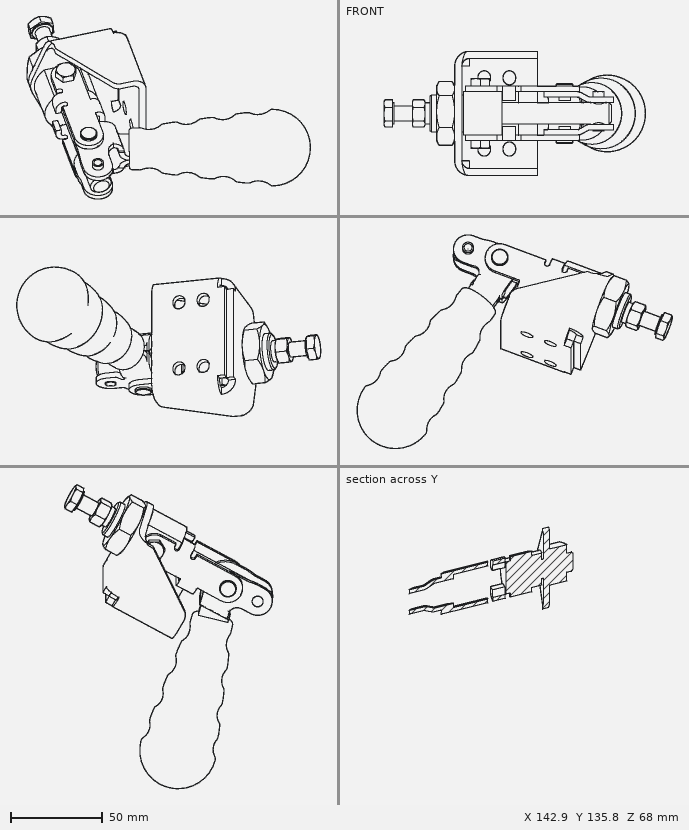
import cadquery as cq
import math


CUT_MARGIN = 1.5
CHAMFER_ANGLE = 30.0

BRACKET_SHEET = 4.0
BRACKET_HEIGHT = 68.0
BRACKET_HALF_HEIGHT = BRACKET_HEIGHT / 2
BRACKET_LENGTH = 45.3
BASE_Y = 36.8
BEND_RADIUS = 8.0
NOSE_RADIUS = 17.2
NOSE_ANGLE = 20.7
RELIEF_GAP = 0.1
GUSSET_FOOT_X = 10.6
GUSSET_FOOT_Y = -4.9
GUSSET_TIP_Y = 19.9
GUSSET_TIP_RADIUS = 5.7
GUSSET_FOOT_RADIUS = 2.0
FOOT_SWEEP_MIDDLE = (5.9, -5.7)
FOOT_SWEEP_START_Y = -8.0
SLOT_XS = (16.2, 29.9)
SLOT_Z = 19.5
SLOT_WIDTH = 6.7
SLOT_LENGTH = 7.6

HEX_TILT = 3.7
BOLT_HEAD_X = -38.6
BOLT_HEAD_LENGTH = 4.7
BOLT_AF = 13.0
BOLT_COLLAR_RADIUS = 5.9
BOLT_COLLAR_LENGTH = 0.9
BOLT_RADIUS = 4.1
LOCKNUT_X = -23.2
LOCKNUT_LENGTH = 7.0
ROD_RADIUS = 5.9
ROD_END_X = 85.8
ROD_CHAMFER = 1.5
BUSH_X = -13.6
BUSH_RADIUS = 10.2
BUSH_CHAMFER = 0.9
NUT_LENGTH = 9.9
NUT_AF = 30.3

BODY_START_X = 4.7
BODY_END_X = 25.9
BODY_RADIUS = 15.3
BODY_HALF_WIDTH = 11.9

SHEET = 3.0
LINK_RADIUS = 8.0
BODY_BOLT_X = 14.0
PIVOT_X = 60.1
SIDE_OUTER_Z = BODY_HALF_WIDTH + SHEET
FOLD_RADIUS = 4.6
TAB_X = (26.0, 33.3)
TAB_Y = -11.0
TAB_TIP_Z = 7.0
NOTCH_WIDTH = 2.9
NOTCH_DEPTH = 3.1
BRIDGE_X = (34.9, 45.3)
BRIDGE_Y = 13.3
BODY_BOLT_AF = 10.2
BODY_BOLT_HEIGHT = 4.1
PIVOT_HEAD_RADIUS = 4.6
PIVOT_HEAD_HEIGHT = 1.5
PIVOT_CHAMFER = 0.5
PIVOT_RADIUS = 3.1
PIVOT_INNER_Z = 7.0

LEVER_ANGLE = 15.0
GRIP_AXIS_X = 57.2
LEVER_OUTER_Z = BODY_HALF_WIDTH
LEVER_HALF_WIDTH = 8.3
LEVER_BEND_RADIUS = 2.6
HEEL_RADIUS = 11.7
HEEL_X = 60.5
LINK_JOGGLE_X = 66.8
LINK_JOGGLE_ANGLE = 29.0
LINK_JOGGLE_SLOPE = 3.7
LINK_END_X = 78.7
NECK_JOGGLE_Y = 12.0
NECK_JOGGLE_ANGLE = 90.0
NECK_JOGGLE_SLOPE = 0.7
ARM_SHIFT = -1.3
NECK_BOTTOM_Y = NECK_JOGGLE_Y + LEVER_BEND_RADIUS
ARM_TOP_Y = NECK_BOTTOM_Y + SHEET
NECK_TOP_Y = 34.3
CROTCH_END_X = 71.8
END_PIN_RADIUS = 3.0
END_PIN_TOP_Z = 11.9
END_PIN_BOTTOM_Z = -9.6
END_PIN_HOLE_RADIUS = 2.1
END_PIN_HOLE_DEPTH = 2.9

GRIP_END = (9.7, 22.9)
GRIP_END_ROUND = (11.5, 24.9)
GRIP_COLLAR_CREST = (11.6, 29.0)
GRIP_WAVES = (
    ((10.6, 34.0), (13.5, 40.9), (14.2, 44.9), (14.6, 49.0)),
    ((13.2, 54.4), (16.0, 61.5), (16.6, 65.2), (16.9, 69.1)),
    ((15.6, 74.2), (18.6, 81.2), (19.2, 85.0), (19.3, 88.7)),
)
GRIP_LAST_VALLEY = (18.2, 93.3)
BALL_START_S = 100.5
BALL_CENTRE_S = 101.0
BALL_RADIUS = 21.0
GRIP_CREST_FILLET = 1.5


def span_box(x, y, z):
    """Box between two limits along each axis."""
    size = [b - a for a, b in (x, y, z)]
    return cq.Workplane("XY").box(*size, centered=False).translate((x[0], y[0], z[0]))


def x_cylinder(x_start, x_end, radius):
    return cq.Workplane("YZ").workplane(offset=x_start).circle(radius).extrude(x_end - x_start)


def z_cylinder(x, z_start, z_end, radius):
    return cq.Workplane("XY", origin=(x, 0, z_start)).circle(radius).extrude(z_end - z_start)


def hexagon(across_flats, length, chamfer_start=True, chamfer_end=True):
    """Hexagon along +Z from Z = 0, corners on X, with turned corner chamfers."""
    corner = across_flats / math.sqrt(3)
    flat = across_flats / 2
    drop = (corner - flat) * math.tan(math.radians(CHAMFER_ANGLE))
    prism = cq.Workplane("XY").polygon(6, 2 * corner).extrude(length)
    outline = [(0, 0)]
    outline += [(flat, 0), (corner, drop)] if chamfer_start else [(corner, 0)]
    outline += [(corner, length - drop), (flat, length)] if chamfer_end else [(corner, length)]
    outline += [(0, length)]
    turned = cq.Workplane("XZ").polyline(outline).close().revolve(360, (0, 0, 0), (0, 1, 0))
    return prism.intersect(turned)


def plunger_hexagon(x_start, across_flats, length, tilt, **chamfers):
    """Hexagon along the plunger with a corner turned by tilt from +Z towards +Y."""
    along_x = hexagon(across_flats, length, **chamfers).rotate((0, 0, 0), (0, 1, 0), 90)
    return along_x.rotate((0, 0, 0), (1, 0, 0), -tilt).translate((x_start, 0, 0))


def bent_channel(depth_limits, run_limits):
    """Channel with its web at depth start, flanges towards +X and running along Y."""
    start, end = depth_limits
    far = end + BEND_RADIUS
    inside = BRACKET_HALF_HEIGHT - BRACKET_SHEET
    outer = span_box((start, far), run_limits, (-BRACKET_HALF_HEIGHT, BRACKET_HALF_HEIGHT))
    outer = outer.edges("|Y and <X").fillet(BEND_RADIUS)
    inner = span_box((start + BRACKET_SHEET, far), run_limits, (-inside, inside))
    inner = inner.edges("|Y and <X").fillet(BEND_RADIUS - BRACKET_SHEET)
    kept = span_box(depth_limits, run_limits, (-BRACKET_HALF_HEIGHT, BRACKET_HALF_HEIGHT))
    return outer.cut(inner).intersect(kept)


def make_bracket():
    bend_z = BRACKET_HALF_HEIGHT - BEND_RADIUS
    bend_y = BASE_Y - BEND_RADIUS
    base_inner_y = BASE_Y - BRACKET_SHEET

    front = bent_channel((0, BRACKET_LENGTH), (-NOSE_RADIUS - CUT_MARGIN, bend_y))
    gusset = (
        cq.Workplane("XY", origin=(0, 0, -BRACKET_HALF_HEIGHT))
        .moveTo(0, bend_y)
        .lineTo(0, -NOSE_RADIUS - CUT_MARGIN)
        .lineTo(BRACKET_SHEET, -NOSE_RADIUS - CUT_MARGIN)
        .lineTo(BRACKET_SHEET, FOOT_SWEEP_START_Y)
        .threePointArc(FOOT_SWEEP_MIDDLE, (BEND_RADIUS, GUSSET_FOOT_Y))
        .lineTo(GUSSET_FOOT_X, GUSSET_FOOT_Y)
        .lineTo(BRACKET_LENGTH, GUSSET_TIP_Y)
        .lineTo(BRACKET_LENGTH, bend_y)
        .close()
        .extrude(BRACKET_HEIGHT)
    )
    tip = cq.selectors.NearestToPointSelector((BRACKET_LENGTH, GUSSET_TIP_Y, 0))
    foot = cq.selectors.NearestToPointSelector((GUSSET_FOOT_X, GUSSET_FOOT_Y, 0))
    gusset = gusset.edges("|Z").edges(tip).fillet(GUSSET_TIP_RADIUS)
    gusset = gusset.edges("|Z").edges(foot).fillet(GUSSET_FOOT_RADIUS)
    slope = math.radians(NOSE_ANGLE)
    tangent_y = -NOSE_RADIUS * math.cos(slope)
    tangent_z = NOSE_RADIUS * math.sin(slope)
    edge_z = BRACKET_HALF_HEIGHT
    edge_y = tangent_y + (edge_z - tangent_z) * math.tan(slope)
    nose = (
        cq.Workplane("YZ")
        .moveTo(bend_y, edge_z)
        .lineTo(edge_y, edge_z)
        .lineTo(tangent_y, tangent_z)
        .threePointArc((-NOSE_RADIUS, 0), (tangent_y, -tangent_z))
        .lineTo(edge_y, -edge_z)
        .lineTo(bend_y, -edge_z)
        .close()
        .extrude(BRACKET_LENGTH)
    )
    front = front.intersect(gusset).intersect(nose)

    base = bent_channel((-BASE_Y, -bend_y), (BEND_RADIUS, BRACKET_LENGTH))
    base = base.rotate((0, 0, 0), (0, 0, 1), -90)

    flat = (-bend_z, bend_z)
    front_strip = span_box((0, BRACKET_SHEET), (bend_y, base_inner_y - RELIEF_GAP), flat)
    base_strip = span_box((BRACKET_SHEET, BEND_RADIUS), (base_inner_y, BASE_Y), flat)

    slots = (
        cq.Workplane("XZ", origin=(0, BASE_Y + CUT_MARGIN, 0))
        .pushPoints([(x, side * SLOT_Z) for x in SLOT_XS for side in (-1, 1)])
        .slot2D(SLOT_LENGTH, SLOT_WIDTH, 90)
        .extrude(BRACKET_SHEET + 2 * CUT_MARGIN)
    )
    return front.union(base).union(front_strip).union(base_strip).cut(slots)


def make_plunger():
    head_end = BOLT_HEAD_X + BOLT_HEAD_LENGTH
    collar_end = head_end + BOLT_COLLAR_LENGTH
    locknut_end = LOCKNUT_X + LOCKNUT_LENGTH
    head = plunger_hexagon(BOLT_HEAD_X, BOLT_AF, BOLT_HEAD_LENGTH, -HEX_TILT, chamfer_end=False)
    locknut = plunger_hexagon(LOCKNUT_X, BOLT_AF, LOCKNUT_LENGTH, -HEX_TILT)
    rod = x_cylinder(locknut_end, ROD_END_X, ROD_RADIUS).faces(">X").chamfer(ROD_CHAMFER)
    bush = x_cylinder(BUSH_X, BODY_START_X, BUSH_RADIUS).faces("<X").chamfer(BUSH_CHAMFER)
    return (
        head.union(x_cylinder(head_end, collar_end, BOLT_COLLAR_RADIUS))
        .union(x_cylinder(head_end, LOCKNUT_X, BOLT_RADIUS))
        .union(locknut)
        .union(rod)
        .union(bush)
        .union(plunger_hexagon(-NUT_LENGTH, NUT_AF, NUT_LENGTH, HEX_TILT))
    )


def make_body():
    cylinder = x_cylinder(BODY_START_X, BODY_END_X, BODY_RADIUS)
    reach = (-BODY_RADIUS - CUT_MARGIN, BODY_RADIUS + CUT_MARGIN)
    flats = (-BODY_HALF_WIDTH, BODY_HALF_WIDTH)
    return cylinder.intersect(span_box((BODY_START_X, BODY_END_X), reach, flats))


def folded_strip(x_limits, far_y, tip_z):
    """Strip that leaves the side plate, folds at far_y (positive) and runs in to tip_z."""
    outer = span_box(x_limits, (0, far_y), (tip_z, SIDE_OUTER_Z))
    outer = outer.edges("|X and >Y and >Z").fillet(FOLD_RADIUS)
    inner = span_box(x_limits, (-CUT_MARGIN, far_y - SHEET), (tip_z - CUT_MARGIN, BODY_HALF_WIDTH))
    inner = inner.edges("|X and >Y and >Z").fillet(FOLD_RADIUS - SHEET)
    return outer.cut(inner)


def make_side_plate():
    """Upper side plate with its tab, half bridge, body bolt and pivot pin."""
    length = PIVOT_X - BODY_BOLT_X + 2 * LINK_RADIUS
    middle_x = (PIVOT_X + BODY_BOLT_X) / 2
    plate = (
        cq.Workplane("XY", origin=(middle_x, 0, BODY_HALF_WIDTH))
        .slot2D(length, 2 * LINK_RADIUS)
        .extrude(SHEET)
    )
    notch_round = NOTCH_WIDTH / 2
    for notch_x in (TAB_X[0] - notch_round, TAB_X[1] + notch_round):
        top_y = -LINK_RADIUS + NOTCH_DEPTH
        centre_y = top_y - notch_round
        z_limits = (BODY_HALF_WIDTH, SIDE_OUTER_Z)
        sides = (notch_x - notch_round, notch_x + notch_round)
        plate = plate.cut(span_box(sides, (-LINK_RADIUS - CUT_MARGIN, centre_y), z_limits))
        plate = plate.cut(z_cylinder(notch_x, *z_limits, notch_round).translate((0, centre_y, 0)))
    tab = folded_strip(TAB_X, -TAB_Y, TAB_TIP_Z).mirror("XZ")
    fold_zone = (-LINK_RADIUS - CUT_MARGIN, TAB_Y + FOLD_RADIUS)
    plate = plate.cut(span_box(TAB_X, fold_zone, (0, SIDE_OUTER_Z)))
    plate = plate.union(tab).union(folded_strip(BRIDGE_X, BRIDGE_Y, 0))

    bolt = hexagon(BODY_BOLT_AF, BODY_BOLT_HEIGHT, chamfer_start=False)
    bolt = bolt.rotate((0, 0, 0), (0, 0, 1), 90).translate((BODY_BOLT_X, 0, SIDE_OUTER_Z))
    pin = z_cylinder(PIVOT_X, PIVOT_INNER_Z, SIDE_OUTER_Z, PIVOT_RADIUS)
    head_top = SIDE_OUTER_Z + PIVOT_HEAD_HEIGHT
    pin_head = z_cylinder(PIVOT_X, SIDE_OUTER_Z, head_top, PIVOT_HEAD_RADIUS)
    pin_head = pin_head.faces(">Z").chamfer(PIVOT_CHAMFER)
    return plate.union(bolt).union(pin).union(pin_head)


def joggle_sheet(plane, start, step, end, angle, slope_length, half_width):
    """Sheet along the plane's first axis that steps inwards by two opposite bends from step on.

    Angle is how far each bend turns, slope_length the straight piece between the bends.
    """
    small = LEVER_BEND_RADIUS
    large = LEVER_BEND_RADIUS + SHEET
    turn = math.radians(angle)

    def bend_point(centre, radius, share):
        return (
            centre[0] + radius * math.sin(share * turn),
            centre[1] + radius * math.cos(share * turn),
        )

    first_centre = (step, LEVER_OUTER_Z - large)
    second_centre = bend_point(first_centre, large + small, 1)
    second_centre = (
        second_centre[0] + slope_length * math.cos(turn),
        second_centre[1] - slope_length * math.sin(turn),
    )
    return (
        cq.Workplane(plane)
        .moveTo(start, LEVER_OUTER_Z)
        .lineTo(step, LEVER_OUTER_Z)
        .threePointArc(bend_point(first_centre, large, 0.5), bend_point(first_centre, large, 1))
        .lineTo(*bend_point(second_centre, -small, 1))
        .threePointArc(bend_point(second_centre, -small, 0.5), bend_point(second_centre, -small, 0))
        .lineTo(end, second_centre[1] - small)
        .lineTo(end, second_centre[1] - large)
        .lineTo(second_centre[0], second_centre[1] - large)
        .threePointArc(bend_point(second_centre, -large, 0.5), bend_point(second_centre, -large, 1))
        .lineTo(*bend_point(first_centre, small, 1))
        .threePointArc(bend_point(first_centre, small, 0.5), bend_point(first_centre, small, 0))
        .lineTo(start, LEVER_OUTER_Z - SHEET)
        .close()
        .extrude(half_width, both=True)
    )


def lever_edge_x(y, side, shift=0.0):
    """X of the lever's left (-1) or right (1) edge at height y."""
    lean = math.radians(LEVER_ANGLE)
    return GRIP_AXIS_X + shift + y * math.tan(lean) + side * LEVER_HALF_WIDTH / math.cos(lean)


def make_lever_plate():
    """Upper lever plate: arm and neck towards the grip, link towards the plunger's end pin."""
    lean = math.radians(LEVER_ANGLE)
    arm_corner = (lever_edge_x(NECK_JOGGLE_Y, 1, ARM_SHIFT), NECK_JOGGLE_Y)
    heel_y = HEEL_RADIUS - LINK_RADIUS

    def heel_point(angle):
        x = HEEL_X - HEEL_RADIUS * math.cos(angle)
        return (x, heel_y + HEEL_RADIUS * math.sin(angle))

    arm = (
        cq.Workplane("XY")
        .moveTo(HEEL_X, -LINK_RADIUS)
        .lineTo(LINK_JOGGLE_X, -LINK_RADIUS)
        .lineTo(LINK_JOGGLE_X, NECK_JOGGLE_Y)
        .lineTo(*arm_corner)
        .lineTo(lever_edge_x(ARM_TOP_Y, 1, ARM_SHIFT), ARM_TOP_Y)
        .lineTo(lever_edge_x(ARM_TOP_Y, -1, ARM_SHIFT), ARM_TOP_Y)
        .lineTo(*heel_point(lean))
        .threePointArc(heel_point((lean - math.pi / 2) / 2), (HEEL_X, -LINK_RADIUS))
        .close()
        .extrude(LEVER_OUTER_Z)
    )
    neck = (
        cq.Workplane("XY")
        .moveTo(lever_edge_x(NECK_BOTTOM_Y, -1), NECK_BOTTOM_Y)
        .lineTo(lever_edge_x(NECK_BOTTOM_Y, 1), NECK_BOTTOM_Y)
        .lineTo(lever_edge_x(NECK_TOP_Y, 1), NECK_TOP_Y)
        .lineTo(lever_edge_x(NECK_TOP_Y, -1), NECK_TOP_Y)
        .close()
        .extrude(LEVER_OUTER_Z - LEVER_BEND_RADIUS - SHEET)
    )
    arm_sheet = joggle_sheet(
        "YZ", -LINK_RADIUS - CUT_MARGIN, NECK_JOGGLE_Y, NECK_TOP_Y + CUT_MARGIN,
        NECK_JOGGLE_ANGLE, NECK_JOGGLE_SLOPE, 2 * LINK_END_X,
    )
    link = (
        cq.Workplane("XY")
        .moveTo(LINK_JOGGLE_X, -LINK_RADIUS)
        .lineTo(LINK_END_X, -LINK_RADIUS)
        .threePointArc((LINK_END_X + LINK_RADIUS, 0), (LINK_END_X, LINK_RADIUS))
        .lineTo(CROTCH_END_X, LINK_RADIUS)
        .tangentArcPoint(arm_corner, relative=False)
        .lineTo(LINK_JOGGLE_X, NECK_JOGGLE_Y)
        .close()
        .extrude(LEVER_OUTER_Z)
    )
    link_sheet = joggle_sheet(
        "XZ", HEEL_X, LINK_JOGGLE_X, LINK_END_X + 2 * LINK_RADIUS,
        LINK_JOGGLE_ANGLE, LINK_JOGGLE_SLOPE, 2 * LINK_RADIUS,
    )
    return arm_sheet.intersect(arm.union(neck)).union(link_sheet.intersect(link))


def valley_arc_middle(floor, crest):
    """Middle of the arc that leaves the valley floor along the grip axis and meets the crest."""
    run = crest[1] - floor[1]
    rise = crest[0] - floor[0]
    radius = (run**2 + rise**2) / (2 * rise)
    half_turn = math.atan2(rise, abs(run))
    return (
        floor[0] + radius * (1 - math.cos(half_turn)),
        floor[1] + math.copysign(radius * math.sin(half_turn), run),
    )


def make_grip():
    """Turned grip of waves and a ball, profiled as (radius, distance along its axis)."""
    ball_offset = BALL_START_S - BALL_CENTRE_S
    ball_start = (math.sqrt(BALL_RADIUS**2 - ball_offset**2), BALL_START_S)
    ball_side = BALL_RADIUS / math.sqrt(2)

    def add_valley(profile, before, floor, after):
        profile = profile.threePointArc(valley_arc_middle(floor, before), floor)
        return profile.threePointArc(valley_arc_middle(floor, after), after)

    profile = (
        cq.Workplane("ZY")
        .moveTo(0, GRIP_END[1])
        .lineTo(*GRIP_END)
        .tangentArcPoint(GRIP_END_ROUND, relative=False)
        .lineTo(*GRIP_COLLAR_CREST)
    )
    crests = [GRIP_COLLAR_CREST]
    for floor, lower_crest, bulge, upper_crest in GRIP_WAVES:
        profile = add_valley(profile, crests[-1], floor, lower_crest)
        profile = profile.threePointArc(bulge, upper_crest)
        crests += [lower_crest, upper_crest]
    grip = (
        add_valley(profile, crests[-1], GRIP_LAST_VALLEY, ball_start)
        .threePointArc(
            (ball_side, BALL_CENTRE_S + ball_side), (0, BALL_CENTRE_S + BALL_RADIUS)
        )
        .close()
        .revolve(360, (0, 0, 0), (0, 1, 0))
    )
    crests.append(ball_start)
    for _, along_axis in crests:
        rim = cq.selectors.NearestToPointSelector((0, along_axis, 0))
        grip = grip.edges("%CIRCLE").edges(rim).fillet(GRIP_CREST_FILLET)
    return grip.rotate((0, 0, 0), (0, 0, 1), -LEVER_ANGLE).translate((GRIP_AXIS_X, 0, 0))


def make_end_pin():
    """Pin through the rod and both links, with a conical recess in its top."""
    pin = z_cylinder(LINK_END_X, END_PIN_BOTTOM_Z, END_PIN_TOP_Z, END_PIN_RADIUS)
    hole = cq.Workplane(cq.Solid.makeCone(0, END_PIN_HOLE_RADIUS, END_PIN_HOLE_DEPTH))
    hole_bottom_z = END_PIN_TOP_Z - END_PIN_HOLE_DEPTH
    return pin.cut(hole.translate((LINK_END_X, 0, hole_bottom_z)))


upper_linkage = make_side_plate().union(make_lever_plate())
result = (
    make_bracket()
    .union(make_plunger())
    .union(make_body())
    .union(upper_linkage)
    .union(upper_linkage.mirror("XY"))
    .union(make_end_pin())
    .union(make_grip())
)